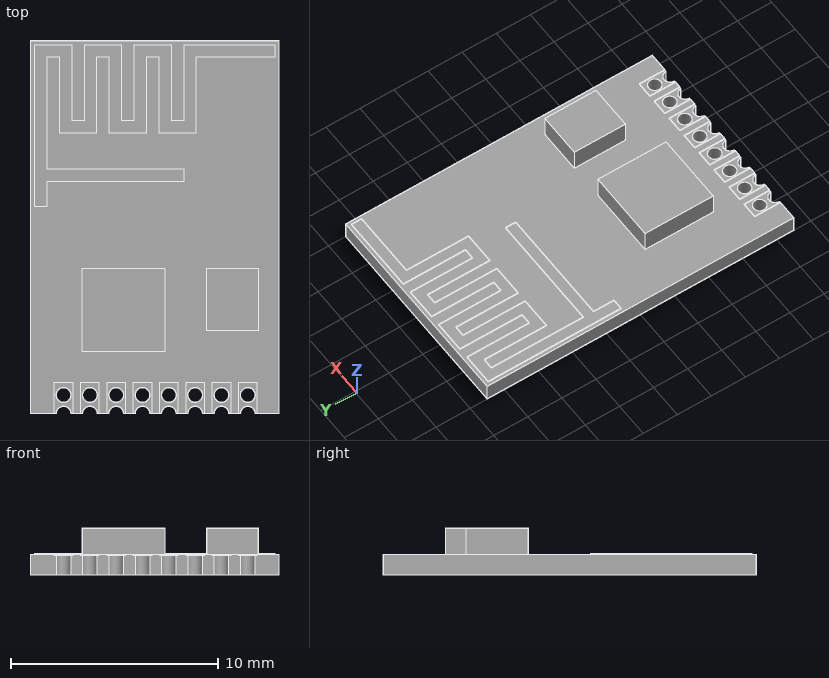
import cadquery as cq

BOARD_WIDTH = 12.0
BOARD_LENGTH = 18.0
BOARD_THICKNESS = 1.0
OVERALL_HEIGHT = 2.27

TRACE_WIDTH = 0.6
TRACE_THICKNESS = 0.05
TRACE_MARGIN = 0.2
MEANDER_LOOPS = 3
MEANDER_DEPTH = 4.25
LEFT_LEG_LENGTH = 7.8
FEED_ARM_DROP = 6.0
FEED_ARM_LENGTH = 7.2

COMPONENT_HEIGHT = OVERALL_HEIGHT - BOARD_THICKNESS
CHIP = (2.5, 3.0, 4.0, 4.0)
CRYSTAL = (8.5, 4.0, 2.5, 3.0)

PAD_COUNT = 8
PAD_PITCH = 1.27
FIRST_PAD_X = 1.6
PAD_WIDTH = 0.9
PAD_LENGTH = 1.5
PAD_RECESS = 0.05
HOLE_DIAMETER = 0.7
HOLE_SETBACK = 0.9


def block(left, front, width, length, bottom, height):
    """Box given by its lowest corner and its sizes."""
    return cq.Workplane("XY").box(width, length, height, centered=False).translate((left, front, bottom))


def raised(left, front, width, length, height):
    """Box standing on the top face of the board."""
    return block(left, front, width, length, BOARD_THICKNESS, height)


def antenna():
    left = TRACE_MARGIN
    back = BOARD_LENGTH - TRACE_MARGIN
    right = BOARD_WIDTH - TRACE_MARGIN
    meander_front = back - MEANDER_DEPTH
    step = 2 * TRACE_WIDTH

    def strip(x, y, width, length):
        return raised(x, y, width, length, TRACE_THICKNESS)

    trace = strip(left, back - LEFT_LEG_LENGTH, TRACE_WIDTH, LEFT_LEG_LENGTH)
    trace = trace.union(
        strip(left, back - FEED_ARM_DROP - TRACE_WIDTH, FEED_ARM_LENGTH, TRACE_WIDTH)
    )

    bar_length = step + TRACE_WIDTH
    for loop in range(MEANDER_LOOPS):
        start = left + 2 * step * loop
        forward = start + step
        backward = forward + step
        trace = trace.union(strip(start, back - TRACE_WIDTH, bar_length, TRACE_WIDTH))
        trace = trace.union(strip(forward, meander_front, TRACE_WIDTH, MEANDER_DEPTH))
        trace = trace.union(strip(forward, meander_front, bar_length, TRACE_WIDTH))
        trace = trace.union(strip(backward, meander_front, TRACE_WIDTH, MEANDER_DEPTH))

    tail_start = left + 2 * step * MEANDER_LOOPS
    return trace.union(strip(tail_start, back - TRACE_WIDTH, right - tail_start, TRACE_WIDTH))


def components():
    return raised(*CHIP, COMPONENT_HEIGHT).union(raised(*CRYSTAL, COMPONENT_HEIGHT))


def pad_positions():
    return [FIRST_PAD_X + PAD_PITCH * index for index in range(PAD_COUNT)]


def pad_recesses():
    """Cutters for the shallow rectangular floors of the solder pads."""
    floor = BOARD_THICKNESS - PAD_RECESS
    row = cq.Workplane("XY")
    for x in pad_positions():
        row = row.add(block(x - PAD_WIDTH / 2, 0, PAD_WIDTH, PAD_LENGTH, floor, PAD_RECESS))
    return row.combine()


def pad_holes():
    """Cutters for the through holes and the half holes on the front edge."""
    centers = [(x, y) for x in pad_positions() for y in (0, HOLE_SETBACK)]
    return cq.Workplane("XY").pushPoints(centers).circle(HOLE_DIAMETER / 2).extrude(OVERALL_HEIGHT)


board = block(0, 0, BOARD_WIDTH, BOARD_LENGTH, 0, BOARD_THICKNESS)
result = board.union(antenna()).union(components()).cut(pad_recesses()).cut(pad_holes())